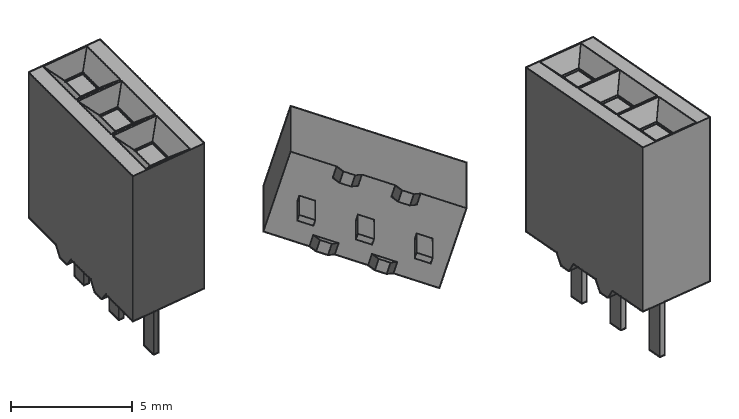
import cadquery as cq

pitch = 2.54
ways = 3
body_length = ways * pitch
body_width = 3.56
body_height = 8.13

web_thickness = 0.1
mouth_length = pitch - web_thickness
mouth_width = 2.18
funnel_depth = 0.635
recess_depth = 0.11

pin_width = 0.7
pin_thickness = 0.254
pin_length = 3.43

foot_height = 0.508
foot_depth = 0.508
foot_root_length = 1.1
foot_tip_length = 0.51


def row_positions(count):
    """X positions of `count` features, one pitch apart and centred on the part."""
    return [(i - (count - 1) / 2) * pitch for i in range(count)]


def make_housing():
    return cq.Workplane("XY").box(body_length, body_width, body_height, centered=(True, True, False))


def make_socket(x):
    """Funnel and recess to be cut from the top of the housing."""
    throat_length = mouth_length - 2 * funnel_depth
    throat_width = mouth_width - 2 * funnel_depth
    funnel = (
        cq.Workplane("XY", origin=(x, 0, body_height))
        .rect(mouth_length, mouth_width)
        .workplane(offset=-funnel_depth)
        .rect(throat_length, throat_width)
        .loft(ruled=True)
    )
    recess = (
        cq.Workplane("XY", origin=(x, 0, body_height - funnel_depth))
        .rect(throat_length, throat_width)
        .extrude(-recess_depth)
    )
    return funnel.union(recess)


def make_pin(x):
    return cq.Workplane("XY", origin=(x, 0, 0)).rect(pin_width, pin_thickness).extrude(-pin_length)


def make_foot(x, front_y):
    """Trapezoidal foot reaching from front_y towards +Y by the foot depth."""
    return (
        cq.Workplane("XZ", origin=(x, front_y, 0))
        .polyline([
            (-foot_root_length / 2, 0),
            (foot_root_length / 2, 0),
            (foot_tip_length / 2, -foot_height),
            (-foot_tip_length / 2, -foot_height),
        ])
        .close()
        .extrude(-foot_depth)
    )


result = make_housing()

for way_x in row_positions(ways):
    result = result.cut(make_socket(way_x))
    result = result.union(make_pin(way_x))

for foot_x in row_positions(ways - 1):
    for foot_front_y in (-body_width / 2, body_width / 2 - foot_depth):
        result = result.union(make_foot(foot_x, foot_front_y))